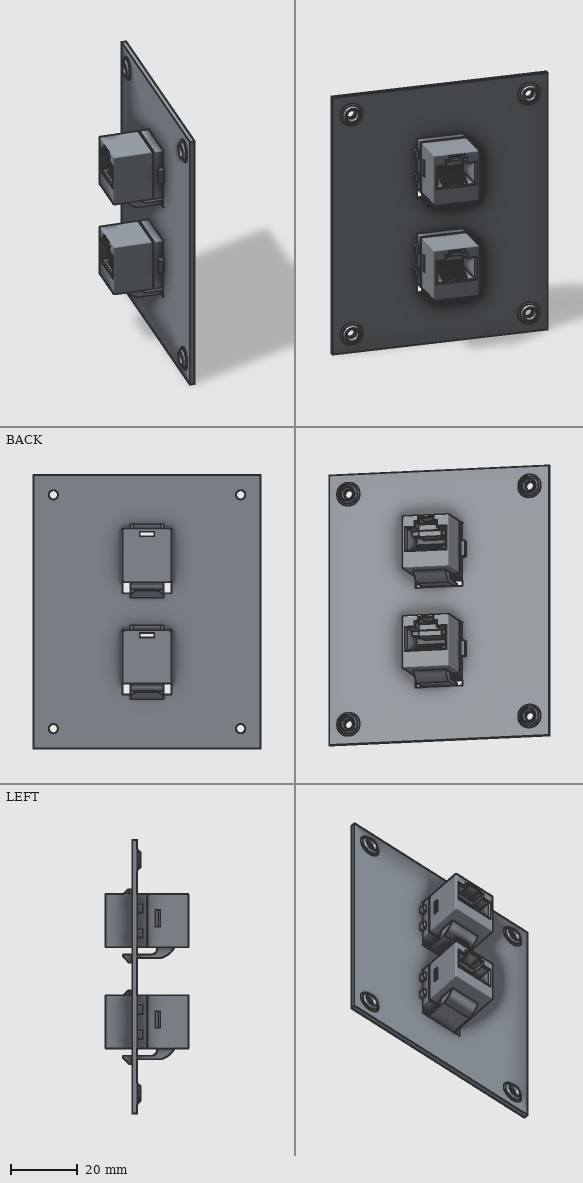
import cadquery as cq
import math


PANEL_WIDTH = 68.1
PANEL_HEIGHT = 82.0
PANEL_THICK = 1.5

HOLE_INSET = 6.0
HOLE_DIA = 2.7
SINK_DIA = 4.0
BOSS_FOOT_DIA = 7.05
BOSS_STEP_DIA = 5.8
BOSS_TOP_DIA = 4.4
BOSS_STEP_HEIGHT = 0.25
BOSS_HEIGHT = 1.1

JACK_COUNT = 2
TOP_JACK_Z = 24.85
JACK_PITCH = 30.35

JACK_WIDTH = 14.6
JACK_HEIGHT = 16.1
JACK_LENGTH = 25.0
JACK_FRONT = -15.5
JACK_BACK = JACK_FRONT + JACK_LENGTH
EDGE_RADIUS = 0.4
SEAM_Y = -3.0
SEAM_WIDTH = 0.3
SEAM_DEPTH = 0.205

TAB_PROJECTION = 1.15
TAB_LENGTH = 1.7
TAB_RADIUS = 0.5
LEFT_TAB_TOPS = (-3.1, -10.6)
LEFT_TAB_HEIGHT = 2.6
RIGHT_TAB_TOP = LEFT_TAB_TOPS[0] - LEFT_TAB_HEIGHT
RIGHT_TAB_HEIGHT = RIGHT_TAB_TOP - LEFT_TAB_TOPS[1]

SIDE_POCKET_BACK = -5.5
SIDE_POCKET_FLOOR_FRONT = -6.4
SIDE_POCKET_FRONT = -6.9
SIDE_POCKET_DEPTH = 0.5
SIDE_POCKET_TOP = -4.8
SIDE_POCKET_HEIGHT = 5.0

CATCH_WIDTH = 10.1
CATCH_HEIGHT = 1.4
CATCH_LENGTH = 1.15
CATCH_CHAMFER = 0.8
GUSSET_WIDTH = 1.0
GUSSET_LENGTH = 1.4

LATCH_WIDTH = 9.9
LATCH_GAP = 2.05
LATCH_THICK = 1.15
LATCH_DROP = LATCH_GAP + LATCH_THICK
LATCH_ROOT_BACK = -6.0
LATCH_ROOT_FRONT = -11.2
LATCH_BEND_END = -7.2
LATCH_INNER_RADIUS = 1.6
LATCH_BULGE = 0.5
HOOK_DROP = 4.6
HOOK_CLEARANCE = 0.25
HOOK_FLAT = 0.9
HOOK_NOSE = 2.9
HOOK_NOSE_DROP = 2.55
HOOK_TOP_CHAMFER = 0.3
HOOK_CORNER_RADIUS = 2.0

FLARE_DEPTH = 0.5
MOUTH_FLARE = 0.3
SOCKET_MOUTH_WIDTH = 12.9
SOCKET_SIDE_FLARE = 0.6
SOCKET_TOP = -3.45
SOCKET_BOTTOM = -10.9
SOCKET_DEPTH = 6.6
REAR_SOCKET_TOP = -5.2
REAR_SOCKET_DEPTH = 11.5
CLIP_NOTCH_WIDTH = 7.1
CLIP_NOTCH_TOP = -1.7
TONGUE_NOTCH_WIDTH = 4.9
TONGUE_NOTCH_TOP = -0.6
CLIP_STOP_WIDTH = 6.9
CLIP_STOP_TOP = -2.2
CLIP_STOP_STEP = -4.0
CLIP_STOP_BOTTOM = -5.75
CLIP_STOP_DEPTH = 4.1
CLIP_STOP_STEP_LENGTH = 0.8

CONTACT_COUNT = 8
CONTACT_SPAN = 7.2
CONTACT_PITCH = CONTACT_SPAN / (CONTACT_COUNT - 1)
CONTACT_WIDTH = 0.4
CONTACT_THICK = 0.3
CONTACT_SETBACK = 1.55
CONTACT_RUN = 4.9
CONTACT_RISE = 2.6


def block(width, y_front, y_back, z_low, z_high, x_mid=0.0):
    """Box given by its width about x_mid and its limits along Y and Z."""
    return (
        cq.Workplane("XY")
        .box(width, y_back - y_front, z_high - z_low, centered=(True, False, False))
        .translate((x_mid, y_front, z_low))
    )


def side_profile(points, width, x_mid=0.0):
    """Prism with a closed (Y, Z) outline, extruded along X about x_mid."""
    return (
        cq.Workplane("YZ")
        .polyline(points)
        .close()
        .extrude(width / 2, both=True)
        .translate((x_mid, 0, 0))
    )


def flared_pocket(mouth_width, mouth_top, mouth_bottom, side_flare, depth):
    """Pocket from the jack front whose mouth tapers down to a straight bore."""
    mouth_height = mouth_top - mouth_bottom
    bore_width = mouth_width - 2 * side_flare
    bore_top = mouth_top - MOUTH_FLARE
    bore_bottom = mouth_bottom + MOUTH_FLARE
    mouth_middle = (mouth_top + mouth_bottom) / 2
    flare = (
        cq.Workplane("XZ", origin=(0, JACK_FRONT, mouth_middle))
        .rect(mouth_width, mouth_height)
        .workplane(offset=-FLARE_DEPTH)
        .rect(bore_width, bore_top - bore_bottom)
        .loft(ruled=True)
    )
    bore = block(bore_width, JACK_FRONT + FLARE_DEPTH, JACK_FRONT + depth, bore_bottom, bore_top)
    return flare.union(bore)


def make_panel():
    """Plate with one opening for each jack and a screw boss in each corner."""
    panel = block(PANEL_WIDTH, 0, PANEL_THICK, -PANEL_HEIGHT / 2, PANEL_HEIGHT / 2)
    for z_top in jack_tops():
        opening_bottom = z_top - JACK_HEIGHT - LATCH_DROP
        panel = panel.cut(block(JACK_WIDTH, 0, PANEL_THICK, opening_bottom, z_top))
    for x_side in (-1, 1):
        for z_side in (-1, 1):
            x = x_side * (PANEL_WIDTH / 2 - HOLE_INSET)
            z = z_side * (PANEL_HEIGHT / 2 - HOLE_INSET)
            panel = panel.union(screw_boss().translate((x, 0, z)))
            panel = panel.cut(screw_hole().translate((x, 0, z)))
    return panel


def screw_boss():
    """Stepped cone that stands out of the panel front."""
    outline = [
        (0, 0),
        (BOSS_FOOT_DIA / 2, 0),
        (BOSS_STEP_DIA / 2, -BOSS_STEP_HEIGHT),
        (BOSS_TOP_DIA / 2, -BOSS_HEIGHT),
        (0, -BOSS_HEIGHT),
    ]
    return cq.Workplane("XY").polyline(outline).close().revolve(360, (0, 0, 0), (0, 1, 0))


def screw_hole():
    """Through hole with a countersink as deep as the boss is tall."""
    outline = [
        (0, -BOSS_HEIGHT),
        (SINK_DIA / 2, -BOSS_HEIGHT),
        (HOLE_DIA / 2, 0),
        (HOLE_DIA / 2, PANEL_THICK),
        (0, PANEL_THICK),
    ]
    return cq.Workplane("XY").polyline(outline).close().revolve(360, (0, 0, 0), (0, 1, 0))


def make_housing():
    """Plain box of the jack with rounded edges and the seam groove."""
    housing = block(JACK_WIDTH, JACK_FRONT, JACK_BACK, -JACK_HEIGHT, 0)
    housing = housing.edges().fillet(EDGE_RADIUS)
    return housing.cut(seam_groove())


def seam_groove():
    """Shallow groove around the housing where its front and rear shells meet."""
    y_front = SEAM_Y - SEAM_WIDTH / 2
    y_back = SEAM_Y + SEAM_WIDTH / 2
    core_width = JACK_WIDTH - 2 * SEAM_DEPTH
    core = block(core_width, y_front, y_back, SEAM_DEPTH - JACK_HEIGHT, -SEAM_DEPTH)
    core = core.edges("|Y").fillet(EDGE_RADIUS)
    return block(JACK_WIDTH, y_front, y_back, -JACK_HEIGHT, 0).cut(core)


def side_tab(x_side, z_top, height):
    """Stop tab on one side of the housing, with its outer edges rounded."""
    tab = block(TAB_PROJECTION, -TAB_LENGTH, 0, z_top - height, z_top)
    tab = tab.edges("|Y").edges(">X" if x_side > 0 else "<X").fillet(TAB_RADIUS)
    return tab.translate((x_side * (JACK_WIDTH + TAB_PROJECTION) / 2, 0, 0))


def side_pocket():
    """Shallow pocket in the left side of the housing."""
    x_face = -JACK_WIDTH / 2
    x_floor = x_face + SIDE_POCKET_DEPTH
    outline = [
        (x_face, SIDE_POCKET_BACK),
        (x_floor, SIDE_POCKET_BACK),
        (x_floor, SIDE_POCKET_FLOOR_FRONT),
        (x_face, SIDE_POCKET_FRONT),
    ]
    pocket_bottom = SIDE_POCKET_TOP - SIDE_POCKET_HEIGHT
    return (
        cq.Workplane("XY", origin=(0, 0, pocket_bottom))
        .polyline(outline)
        .close()
        .extrude(SIDE_POCKET_HEIGHT)
    )


def top_catch():
    """Catch behind the panel, backed by a sloped gusset at each end."""
    y_back = PANEL_THICK + CATCH_LENGTH
    catch = block(CATCH_WIDTH, PANEL_THICK, y_back, -EDGE_RADIUS, CATCH_HEIGHT)
    catch = catch.faces("<Y").edges("|Z").chamfer(CATCH_CHAMFER)
    gusset_outline = [
        (y_back, 0),
        (y_back + GUSSET_LENGTH, 0),
        (y_back, CATCH_HEIGHT),
    ]
    for x_side in (-1, 1):
        x_mid = x_side * (CATCH_WIDTH - GUSSET_WIDTH) / 2
        catch = catch.union(side_profile(gusset_outline, GUSSET_WIDTH, x_mid))
    return catch


def spring_latch():
    """Arm that hangs from the housing, runs back through the panel and ends in a hook."""
    z_arm_top = -JACK_HEIGHT - LATCH_GAP
    z_arm_bottom = -JACK_HEIGHT - LATCH_DROP
    arm = (
        cq.Workplane("YZ")
        .moveTo(LATCH_ROOT_FRONT, -JACK_HEIGHT)
        .sagittaArc((LATCH_BEND_END, z_arm_bottom), -LATCH_BULGE)
        .lineTo(PANEL_THICK, z_arm_bottom)
        .lineTo(PANEL_THICK, z_arm_top)
        .lineTo(LATCH_ROOT_BACK, z_arm_top)
        .lineTo(LATCH_ROOT_BACK, -JACK_HEIGHT)
        .close()
        .extrude(LATCH_WIDTH / 2, both=True)
    )
    inner_corner = cq.NearestToPointSelector((0, LATCH_ROOT_BACK, z_arm_top))
    arm = arm.edges(inner_corner).fillet(LATCH_INNER_RADIUS)
    return arm.union(latch_hook(z_arm_top, z_arm_bottom))


def latch_hook(z_arm_top, z_arm_bottom):
    """Barbed end of the arm: a short gap to the panel, then a round-cornered sloped nose."""
    y_barb = PANEL_THICK + HOOK_CLEARANCE
    y_nose = PANEL_THICK + HOOK_NOSE
    z_hook_bottom = -JACK_HEIGHT - HOOK_DROP
    hook = side_profile(
        [
            (PANEL_THICK, z_arm_top),
            (PANEL_THICK, z_arm_bottom),
            (y_barb, z_arm_bottom),
            (y_barb, z_hook_bottom),
            (PANEL_THICK + HOOK_FLAT, z_hook_bottom),
            (y_nose, -JACK_HEIGHT - HOOK_NOSE_DROP),
            (y_nose - HOOK_TOP_CHAMFER, z_arm_top),
        ],
        LATCH_WIDTH,
    )
    plan = block(LATCH_WIDTH, PANEL_THICK, y_nose, z_hook_bottom, z_arm_top)
    plan = plan.faces(">Y").edges("|Z").fillet(HOOK_CORNER_RADIUS)
    return hook.intersect(plan)


def socket():
    """Plug opening: main socket, deeper rear part, two clip notches and a slot to the back."""
    bore_width = SOCKET_MOUTH_WIDTH - 2 * SOCKET_SIDE_FLARE
    main = flared_pocket(SOCKET_MOUTH_WIDTH, SOCKET_TOP, SOCKET_BOTTOM, SOCKET_SIDE_FLARE, SOCKET_DEPTH)
    rear = block(
        bore_width,
        JACK_FRONT + SOCKET_DEPTH,
        JACK_FRONT + REAR_SOCKET_DEPTH,
        SOCKET_BOTTOM + MOUTH_FLARE,
        REAR_SOCKET_TOP,
    )
    notch_bottom = SOCKET_TOP - 2 * MOUTH_FLARE
    clip = flared_pocket(CLIP_NOTCH_WIDTH, CLIP_NOTCH_TOP, notch_bottom, MOUTH_FLARE, SOCKET_DEPTH)
    tongue = flared_pocket(TONGUE_NOTCH_WIDTH, TONGUE_NOTCH_TOP, notch_bottom, MOUTH_FLARE, JACK_LENGTH)
    return main.union(rear).union(clip).union(tongue).cut(clip_stop())


def clip_stop():
    """Stepped block under the slot that closes the clip notch."""
    y_upper = JACK_FRONT + CLIP_STOP_DEPTH
    y_lower = y_upper + CLIP_STOP_STEP_LENGTH
    upper = block(CLIP_STOP_WIDTH, y_upper, JACK_BACK, CLIP_STOP_STEP, CLIP_STOP_TOP)
    lower = block(CLIP_STOP_WIDTH, y_lower, JACK_BACK, CLIP_STOP_BOTTOM, CLIP_STOP_STEP)
    return upper.union(lower)


def contact(index):
    """Flat wire that rises toward the back from the socket floor."""
    y_start = JACK_FRONT + CONTACT_SETBACK
    y_end = y_start + CONTACT_RUN
    z_floor = SOCKET_BOTTOM + MOUTH_FLARE
    z_tip = z_floor + CONTACT_RISE
    upright_thick = CONTACT_THICK * math.hypot(CONTACT_RUN, CONTACT_RISE) / CONTACT_RUN
    outline = [
        (y_start, z_floor),
        (y_end, z_tip),
        (y_end, z_tip - upright_thick),
        (y_start, z_floor - upright_thick),
    ]
    x_mid = index * CONTACT_PITCH - CONTACT_SPAN / 2
    return side_profile(outline, CONTACT_WIDTH, x_mid)


def make_jack():
    """One complete jack, with its housing top on Z = 0."""
    jack = make_housing()
    for z_top in LEFT_TAB_TOPS:
        jack = jack.union(side_tab(-1, z_top, LEFT_TAB_HEIGHT))
    jack = jack.union(side_tab(1, RIGHT_TAB_TOP, RIGHT_TAB_HEIGHT))
    jack = jack.union(top_catch())
    jack = jack.union(spring_latch())
    jack = jack.cut(side_pocket())
    jack = jack.cut(socket())
    for index in range(CONTACT_COUNT):
        jack = jack.union(contact(index))
    return jack


def jack_tops():
    """Height of the top face of each jack housing."""
    return [TOP_JACK_Z - index * JACK_PITCH for index in range(JACK_COUNT)]


panel = make_panel()
jack = make_jack()
jacks = [jack.translate((0, 0, z_top)) for z_top in jack_tops()]

result = cq.Compound.makeCompound([panel.val(), *[placed.val() for placed in jacks]])